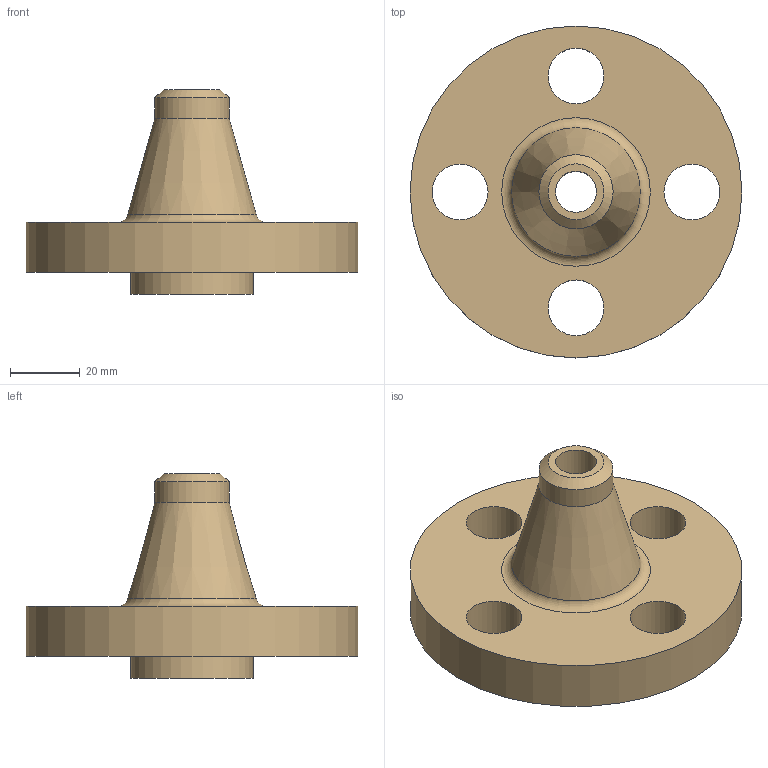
import cadquery as cq
import math


flange_diameter = 95.25
flange_thickness = 14.3
raised_face_diameter = 35.1
raised_face_height = 6.35

overall_height = 58.67
pipe_diameter = 21.3
bore_diameter = 11.8
hub_base_diameter = 38.1
hub_fillet_radius = 3.0
pipe_straight_length = 6.0
weld_land_diameter = 16.0
weld_bevel_angle = 50.0

bolt_count = 4
bolt_hole_diameter = 16.0
bolt_circle_diameter = 66.5

flange_top = raised_face_height + flange_thickness
weld_bevel_height = (pipe_diameter - weld_land_diameter) / 2 / math.tan(math.radians(weld_bevel_angle))
pipe_top = overall_height - weld_bevel_height
cone_top = pipe_top - pipe_straight_length


def disc(diameter, bottom, height):
    """Upright cylinder on the part axis."""
    return cq.Workplane("XY").workplane(offset=bottom).circle(diameter / 2).extrude(height)


def flange_disc():
    raised_face = disc(raised_face_diameter, 0, raised_face_height)
    return raised_face.union(disc(flange_diameter, raised_face_height, flange_thickness))


def neck():
    """Tapered hub, straight pipe end and weld bevel, revolved about Z."""
    profile = (
        cq.Workplane("XZ")
        .moveTo(0, flange_top)
        .lineTo(hub_base_diameter / 2, flange_top)
        .lineTo(pipe_diameter / 2, cone_top)
        .lineTo(pipe_diameter / 2, pipe_top)
        .lineTo(weld_land_diameter / 2, overall_height)
        .lineTo(0, overall_height)
        .close()
    )
    return profile.revolve(360, (0, 0, 0), (0, 1, 0))


def fillet_hub_root(body):
    """Round the inside corner where the tapered hub meets the flange."""
    corner = hub_base_diameter / 2
    tolerance = 0.1
    root = cq.selectors.BoxSelector(
        (-corner - tolerance, -corner - tolerance, flange_top - tolerance),
        (corner + tolerance, corner + tolerance, flange_top + tolerance),
        boundingbox=True,
    )
    return body.edges(root).fillet(hub_fillet_radius)


def bolt_holes():
    return (
        cq.Workplane("XY")
        .polarArray(bolt_circle_diameter / 2, 0, 360, bolt_count)
        .circle(bolt_hole_diameter / 2)
        .extrude(flange_top)
    )


body = fillet_hub_root(flange_disc().union(neck()))
bore = disc(bore_diameter, 0, overall_height)
result = body.cut(bore).cut(bolt_holes())